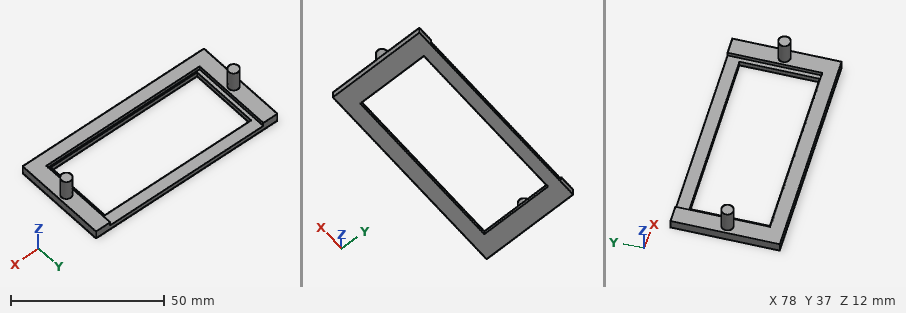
import cadquery as cq

length = 78.0
width = 37.0
thickness = 3.5
total_height = 12.0

recess_side_margin = 6.1
recess_front_margin = 4.9
recess_depth = 1.5

window_side_margin = 7.6
window_front_margin = 5.4
window_back_margin = 4.45

pin_diameter = 4.1
pin_inset = 3.05


def block(x_margin, y_start, y_end, z_start, z_end):
    """Box with the same margin to both plate ends."""
    size = (length - 2 * x_margin, y_end - y_start, z_end - z_start)
    return cq.Workplane("XY").box(*size, centered=False).translate((x_margin, y_start, z_start))


def pin(x):
    """Round pin running from the plate underside to the full height."""
    return cq.Workplane("XY").center(x, width / 2).circle(pin_diameter / 2).extrude(total_height)


plate = block(0, 0, width, 0, thickness)
recess = block(recess_side_margin, recess_front_margin, width, thickness - recess_depth, thickness)
window = block(window_side_margin, window_front_margin, width - window_back_margin, 0, thickness)

result = plate.cut(recess).cut(window)
for pin_x in (pin_inset, length - pin_inset):
    result = result.union(pin(pin_x))